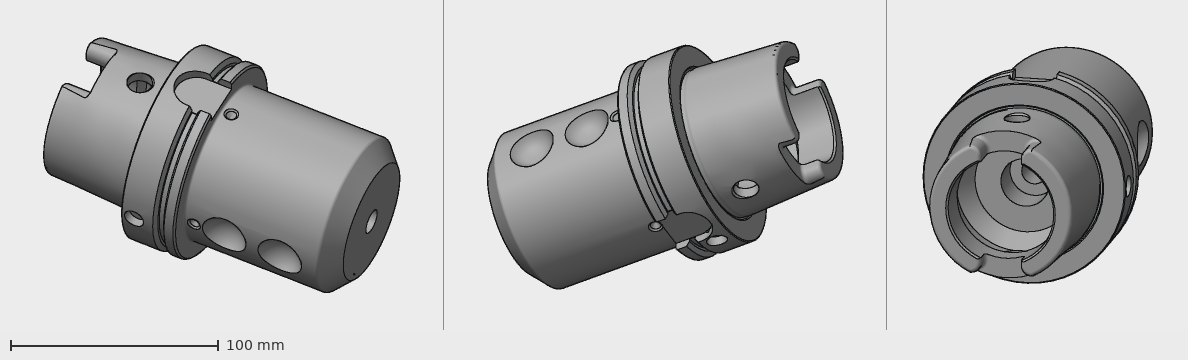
import cadquery as cq
import math

LENGTH = 160.0
PIP_HEIGHT = 0.5
PIP_RADIUS = 0.24
PIP_OFFSET = 19.0
END_FACE = LENGTH - PIP_HEIGHT

NOSE_RADIUS = 35.4
TAPER_END_RADIUS = 38.0
TAPER_LENGTH = 47.4
NOSE_ROUND = 2.0

RELIEF_START = 48.6
RELIEF_RADIUS = 37.6
RELIEF_OUTER_RADIUS = 39.2
RELIEF_DEPTH = 0.6

FLANGE_DIAMETER = 100.0
FLANGE_RADIUS = FLANGE_DIAMETER / 2
FLANGE_START = 50.0
FLANGE_END = 78.7
FLANGE_CHAMFER = 0.5
FLANGE_BACK_CHAMFER = 1.0
GROOVE_OFFSET = 20.0
GROOVE_CENTER = FLANGE_START + GROOVE_OFFSET
GROOVE_TOP_HALF = 3.0
GROOVE_BOTTOM_HALF = 1.52
GROOVE_BEVEL_DEPTH = 2.5
GROOVE_DEPTH = 4.0

BODY_RADIUS = 40.0
BODY_FILLET = 1.1
END_RADIUS = 30.2
END_CHAMFER_START = 150.4
SHOULDER_ROUND = 1.6

MOUTH_CHAMFER = 1.0
BORE_RADIUS = 26.1
LIP_END = 20.0
SHOULDER_LENGTH = 2.9
RECESS_RADIUS = 31.2
RECESS_END = 40.3
RECESS_CONE_ANGLE = 30.0
FLOOR_RADIUS = 24.6
COUNTERBORE_RADIUS = 11.8
COUNTERBORE_DEPTH = 19.2
COOLANT_RADIUS = 6.1

NOTCH_HALF_WIDTH = 10.0
NOTCH_WALL_TOP = 26.7
NOTCH_FLARE = 5.1
NOTCH_FLOOR_ROUND = 2.0
NOTCH_DEPTH_TOP = 15.0
NOTCH_DEPTH_BOTTOM = 9.6

SLOT_HALF_WIDTH = 10.9
SLOT_START = 54.4
SLOT_FLOOR = 44.3

ACCESS_X = 34.7
ACCESS_RADIUS = 6.1
ACCESS_CHAMFER = 0.6

RIM_HOLE_RADIUS = 5.1
RIM_HOLE_DEPTH = 4.8
CHIP_X = 56.8
CHIP_ANGLE = 90.0
MARK_X = 58.7
MARK_ANGLE = 162.0

DIMPLE_XS = (100.3, 130.2)
DIMPLE_RADIUS = 12.6
DIMPLE_CENTER = 44.8

SCREW_X = 84.0
SCREW_COUNT = 4
SCREW_ANGLES = [i * 360 / SCREW_COUNT for i in range(SCREW_COUNT)]
SCREW_RADIUS = 2.5
SCREW_HOLE_CHAMFER = 1.0
SCREW_LENGTH = 8.0
SCREW_SOCKET_DEPTH = 2.5
SCREW_TOP = BODY_RADIUS - SCREW_HOLE_CHAMFER
SCREW_BOTTOM = BODY_RADIUS - SCREW_LENGTH

SELECT_MARGIN = 0.2
SELECT_REACH = 64.0


def around_axis(shape, angle):
    return shape.rotate((0, 0, 0), (1, 0, 0), angle)


def edges_at(x):
    """Selects the edges lying in the plane at x, within SELECT_REACH of the axis."""
    return cq.selectors.BoxSelector(
        (x - SELECT_MARGIN, -SELECT_REACH, -SELECT_REACH),
        (x + SELECT_MARGIN, SELECT_REACH, SELECT_REACH), boundingbox=True)


def upright_cylinder(x, radius, bottom, top):
    return cq.Workplane("XY", origin=(x, 0, bottom)).circle(radius).extrude(top - bottom)


def upright_cone(x, bottom_radius, top_radius, bottom, top):
    cone = cq.Solid.makeCone(bottom_radius, top_radius, top - bottom, pnt=cq.Vector(x, 0, bottom))
    return cq.Workplane(cone)


def turned_blank():
    """Solid of revolution with the taper, grooved flange, body and end chamfer."""
    left = GROOVE_CENTER - GROOVE_TOP_HALF
    right = GROOVE_CENTER + GROOVE_TOP_HALF
    bottom_left = GROOVE_CENTER - GROOVE_BOTTOM_HALF
    bottom_right = GROOVE_CENTER + GROOVE_BOTTOM_HALF
    bevel_radius = FLANGE_RADIUS - GROOVE_BEVEL_DEPTH
    groove_radius = FLANGE_RADIUS - GROOVE_DEPTH
    profile = (
        cq.Workplane("XY")
        .polyline([
            (0, 0),
            (0, NOSE_RADIUS - NOSE_ROUND),
        ])
        .radiusArc((NOSE_ROUND, NOSE_RADIUS), NOSE_ROUND)
        .polyline([
            (TAPER_LENGTH, TAPER_END_RADIUS),
            (RELIEF_START, RELIEF_RADIUS),
            (FLANGE_START + RELIEF_DEPTH, RELIEF_RADIUS),
            (FLANGE_START + RELIEF_DEPTH, RELIEF_OUTER_RADIUS - RELIEF_DEPTH),
            (FLANGE_START, RELIEF_OUTER_RADIUS),
            (FLANGE_START, FLANGE_RADIUS - FLANGE_CHAMFER),
            (FLANGE_START + FLANGE_CHAMFER, FLANGE_RADIUS),
            (left, FLANGE_RADIUS),
            (bottom_left, bevel_radius),
            (bottom_left, groove_radius),
            (bottom_right, groove_radius),
            (bottom_right, bevel_radius),
            (right, FLANGE_RADIUS),
            (FLANGE_END - FLANGE_BACK_CHAMFER, FLANGE_RADIUS),
            (FLANGE_END, FLANGE_RADIUS - FLANGE_BACK_CHAMFER),
            (FLANGE_END, BODY_RADIUS + BODY_FILLET),
        ], includeCurrent=True)
        .radiusArc((FLANGE_END + BODY_FILLET, BODY_RADIUS), -BODY_FILLET)
        .lineTo(END_CHAMFER_START, BODY_RADIUS)
        .lineTo(END_FACE, END_RADIUS)
        .lineTo(END_FACE, 0)
        .close()
    )
    blank = profile.revolve(360, (0, 0, 0), (1, 0, 0))
    shoulder = blank.edges(edges_at(END_CHAMFER_START))
    return shoulder.fillet(SHOULDER_ROUND)


def bore():
    """Stepped bore: claw recess behind a lip, conical run to the floor, then the coolant passage."""
    cone_length = (RECESS_RADIUS - FLOOR_RADIUS) / math.tan(math.radians(RECESS_CONE_ANGLE))
    floor = RECESS_END + cone_length
    step_end = floor + COUNTERBORE_DEPTH
    return (
        cq.Workplane("XY")
        .polyline([
            (0, 0),
            (0, BORE_RADIUS + MOUTH_CHAMFER),
            (MOUTH_CHAMFER, BORE_RADIUS),
            (LIP_END, BORE_RADIUS),
            (LIP_END + SHOULDER_LENGTH, RECESS_RADIUS),
            (RECESS_END, RECESS_RADIUS),
            (floor, FLOOR_RADIUS),
            (floor, COUNTERBORE_RADIUS),
            (step_end, COUNTERBORE_RADIUS),
            (step_end, COOLANT_RADIUS),
            (LENGTH, COOLANT_RADIUS),
            (LENGTH, 0),
        ])
        .close()
        .revolve(360, (0, 0, 0), (1, 0, 0))
    )


def nose_notch(depth):
    """Notch at +Z: parallel walls that flare outwards, rounded at the floor and at the mouth."""
    half = NOTCH_HALF_WIDTH
    flare_y = half + NOTCH_FLARE
    flare_z = NOTCH_WALL_TOP + NOTCH_FLARE
    outside = FLANGE_RADIUS
    notch = (
        cq.Workplane("YZ")
        .moveTo(-half, 0)
        .lineTo(-half, NOTCH_WALL_TOP)
        .radiusArc((-flare_y, flare_z), -NOTCH_FLARE)
        .lineTo(-outside, flare_z)
        .lineTo(-outside, outside)
        .lineTo(outside, outside)
        .lineTo(outside, flare_z)
        .lineTo(flare_y, flare_z)
        .radiusArc((half, NOTCH_WALL_TOP), -NOTCH_FLARE)
        .lineTo(half, 0)
        .close()
        .extrude(depth)
        .faces(">X").edges().fillet(NOTCH_FLOOR_ROUND)
    )
    plate = cq.Workplane("YZ").rect(LENGTH, LENGTH).extrude(-NOSE_ROUND)
    mouth = notch.union(plate).edges(edges_at(0))
    return mouth.fillet(NOSE_ROUND)


def access_hole():
    """Radial hole through both taper walls, countersunk where it breaks out."""
    rim = NOSE_RADIUS + (TAPER_END_RADIUS - NOSE_RADIUS) * ACCESS_X / TAPER_LENGTH
    hole = upright_cylinder(ACCESS_X, ACCESS_RADIUS, -rim, rim)
    sink = upright_cone(
        ACCESS_X, ACCESS_RADIUS, ACCESS_RADIUS + 2 * ACCESS_CHAMFER,
        rim - ACCESS_CHAMFER, rim + ACCESS_CHAMFER)
    return hole.union(sink).union(around_axis(sink, 180))


def end_pip():
    """Small pip standing on the chuck end face."""
    return (
        cq.Workplane("YZ", origin=(END_FACE, -PIP_OFFSET, -PIP_OFFSET))
        .circle(PIP_RADIUS)
        .extrude(PIP_HEIGHT)
    )


def drive_slot():
    """Flat-floored slot, open at the back of the flange and round at its front end."""
    round_x = SLOT_START + SLOT_HALF_WIDTH
    return (
        cq.Workplane("XY", origin=(0, 0, SLOT_FLOOR))
        .moveTo(FLANGE_END, -SLOT_HALF_WIDTH)
        .lineTo(round_x, -SLOT_HALF_WIDTH)
        .threePointArc((SLOT_START, 0), (round_x, SLOT_HALF_WIDTH))
        .lineTo(FLANGE_END, SLOT_HALF_WIDTH)
        .close()
        .extrude(FLANGE_RADIUS - SLOT_FLOOR)
    )


def flange_hole(x, angle):
    """Blind radial hole in the flange rim, turned from +Z about the tool axis."""
    hole = upright_cylinder(x, RIM_HOLE_RADIUS, FLANGE_RADIUS - RIM_HOLE_DEPTH, FLANGE_RADIUS)
    return around_axis(hole, angle)


def grip_dimple(x, side):
    return cq.Workplane("XY", origin=(x, side * DIMPLE_CENTER, 0)).sphere(DIMPLE_RADIUS)


def screw_hole():
    """Radial screw hole at +Z with a chamfered mouth."""
    hole = upright_cylinder(SCREW_X, SCREW_RADIUS, SCREW_BOTTOM, SCREW_TOP)
    mouth = upright_cone(SCREW_X, SCREW_RADIUS, SCREW_RADIUS + SCREW_HOLE_CHAMFER, SCREW_TOP, BODY_RADIUS)
    return hole.union(mouth)


def plug_screw():
    """Plug screw at +Z, flush with the bottom of the hole chamfer, with a conical socket."""
    body = upright_cylinder(SCREW_X, SCREW_RADIUS, SCREW_BOTTOM, SCREW_TOP)
    socket = upright_cone(SCREW_X, 0, SCREW_RADIUS, SCREW_TOP - SCREW_SOCKET_DEPTH, SCREW_TOP)
    return body.cut(socket)


def build_housing():
    housing = turned_blank().cut(bore())
    for depth, angle in ((NOTCH_DEPTH_TOP, 0), (NOTCH_DEPTH_BOTTOM, 180)):
        housing = housing.cut(around_axis(nose_notch(depth), angle))
    for angle in (0, 180):
        housing = housing.cut(around_axis(drive_slot(), angle))
    housing = housing.cut(access_hole())
    housing = housing.cut(flange_hole(CHIP_X, CHIP_ANGLE))
    housing = housing.cut(flange_hole(MARK_X, MARK_ANGLE))
    for x in DIMPLE_XS:
        for side in (-1, 1):
            housing = housing.cut(grip_dimple(x, side))
    for angle in SCREW_ANGLES:
        housing = housing.cut(around_axis(screw_hole(), angle))
    return housing.union(end_pip())


housing = build_housing()
screws = [around_axis(plug_screw(), angle) for angle in SCREW_ANGLES]

result = cq.Compound.makeCompound([housing.val(), *[screw.val() for screw in screws]])